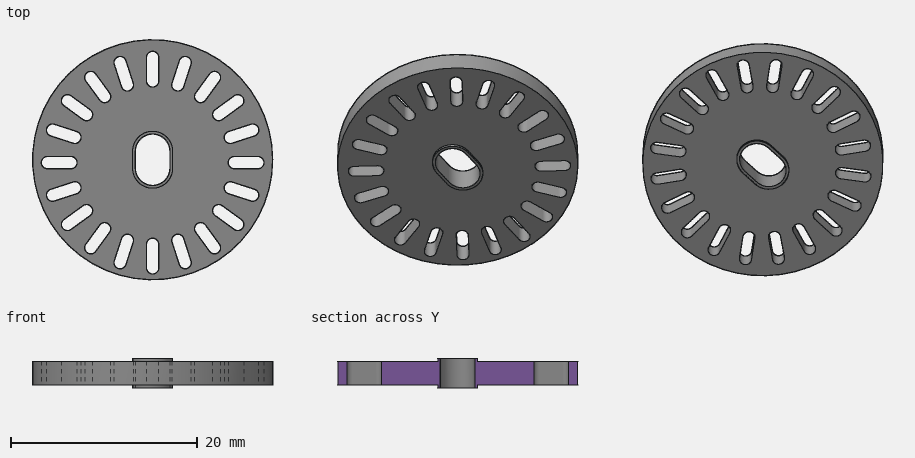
import cadquery as cq

disc_diameter = 25.75
disc_thickness = 2.55

total_height = 3.17
hub_length = 6.1
hub_width = 4.3
hub_wall = 0.3

slot_count = 20
slot_inner_radius = 8.11
slot_outer_radius = 11.93
slot_width = 1.3
slot_ring_offset_y = -0.3

slot_length = slot_outer_radius - slot_inner_radius
slot_mid_radius = (slot_inner_radius + slot_outer_radius) / 2
bore_length = hub_length - 2 * hub_wall
bore_width = hub_width - 2 * hub_wall


def underside(thickness):
    """Workplane at the underside of a layer centred on the XY plane."""
    return cq.Workplane("XY", origin=(0, 0, -thickness / 2))


def oblong(length, width):
    """Round-ended prism over the full height, long side along Y."""
    return underside(total_height).slot2D(length, width, 90).extrude(total_height)


def radial_slots():
    """Round-ended through cutters spaced evenly around the slot ring."""
    return (
        underside(disc_thickness)
        .center(0, slot_ring_offset_y)
        .polarArray(slot_mid_radius, 0, 360, slot_count)
        .slot2D(slot_length, slot_width)
        .extrude(disc_thickness)
    )


disc = underside(disc_thickness).circle(disc_diameter / 2).extrude(disc_thickness)
hub = oblong(hub_length, hub_width)
bore = oblong(bore_length, bore_width)

result = disc.cut(radial_slots()).union(hub).cut(bore)